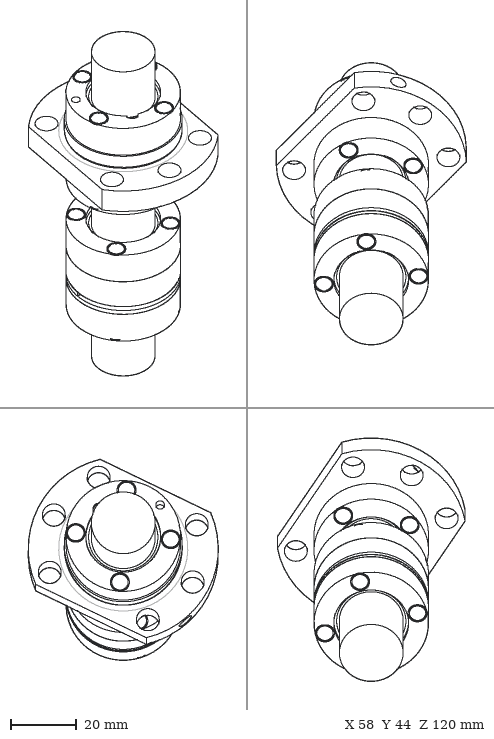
import cadquery as cq
import math

shaft_length = 120.0
shaft_radius = 9.7

nut_length = 34.0
cap_length = 10.5
cap_radius = 34.9 / 2
body_radius = 35.0 / 2
upper_nut_bottom = 70.1
lower_nut_bottom = 20.2

recess_radius = 11.4
recess_depth = 1.7
cone_radius = 10.5
cone_depth = 0.5

screw_count = 4
screw_circle_radius = 14.5
screw_hole_radius = 2.9
screw_head_radius = 2.5
screw_gap_depth = 0.4
upper_screw_angle = 22.5
lower_screw_angle = 45.0

notch_radius = 1.8
notch_center_radius = 11.3
notch_angle = -22.5
cap_hole_radius = 1.3
cap_hole_center_radius = 14.9
cap_hole_angle = -112.5
cap_hole_depth = 4.8
cap_hole_tip_depth = 0.7

flange_radius = 58.0 / 2
flange_width = 44.0
flange_thickness = 8.0
collar_radius = 18.0
collar_length = 4.7
undercut_radius = 19.7
undercut_rise = 0.4
undercut_drop = 0.2
undercut_setback = 0.2
mount_circle_radius = 23.6
mount_hole_radius = 3.5
mount_hole_angles = (0, 45, 135, 180, 225, 315)

port_angle = 157.5
port_radius = 2.4
port_depth = 7.5
port_channel_radius = 1.8

groove_center_height = 12.8
groove_radius = 0.8
groove_depth = 0.5
groove_hole_radius = 0.6
groove_hole_depth = 2.4
groove_hole_angle = -90.0


def disc(radius, bottom, height):
    """Upright cylinder on the Z axis."""
    return cq.Workplane("XY").workplane(offset=bottom).circle(radius).extrude(height)


def polar_point(radius, angle):
    """X and Y of a point at a radius and an angle from the +X direction."""
    return (radius * math.cos(math.radians(angle)), radius * math.sin(math.radians(angle)))


def radial_cylinder(radius, angle, height, inner, outer):
    """Cylinder lying along a radial line, between two distances from the Z axis."""
    lying = cq.Workplane("YZ").workplane(offset=inner).circle(radius).extrude(outer - inner)
    return lying.rotate((0, 0, 0), (0, 0, 1), angle).translate((0, 0, height))


def end_cutter(screw_angle):
    """Recess, cone and screw gaps for an upward end face at Z = 0."""
    recess = disc(recess_radius, -recess_depth, recess_depth)
    cone = (
        cq.Workplane("XY")
        .workplane(offset=-recess_depth)
        .circle(cone_radius)
        .workplane(offset=-cone_depth)
        .circle(shaft_radius)
        .loft()
    )
    gaps = (
        cq.Workplane("XY")
        .polarArray(screw_circle_radius, screw_angle, 360, screw_count)
        .circle(screw_hole_radius)
        .circle(screw_head_radius)
        .extrude(-screw_gap_depth)
    )
    return recess.union(cone).union(gaps)


def cut_ends(nut, bottom, screw_angle):
    """Bore the nut for the shaft and detail both of its end faces."""
    cutter = end_cutter(screw_angle)
    bore = disc(shaft_radius, bottom, nut_length)
    top_cutter = cutter.translate((0, 0, bottom + nut_length))
    bottom_cutter = cutter.mirror("XY").translate((0, 0, bottom))
    return nut.cut(bore).cut(top_cutter).cut(bottom_cutter)


def make_shaft():
    return disc(shaft_radius, 0, shaft_length)


def make_flange(top):
    """Round flange with two flats and a ring of mounting holes."""
    flange = disc(flange_radius, top - flange_thickness, flange_thickness)
    flats = cq.Workplane("XY").box(2 * flange_radius, flange_width, 2 * top)
    holes = (
        cq.Workplane("XY")
        .workplane(offset=top)
        .pushPoints([polar_point(mount_circle_radius, angle) for angle in mount_hole_angles])
        .circle(mount_hole_radius)
        .extrude(-flange_thickness)
    )
    return flange.intersect(flats).cut(holes)


def make_undercut(flange_top):
    """Shallow relief ring in the corner between the flange face and the collar."""
    return (
        cq.Workplane("XZ")
        .moveTo(undercut_radius, flange_top)
        .lineTo(collar_radius, flange_top + undercut_rise)
        .lineTo(collar_radius - undercut_setback, flange_top - undercut_drop)
        .close()
        .revolve(360, (0, 0, 0), (0, 1, 0))
    )


def make_cap_cutter(top):
    """Notch beside the recess and the small drilled hole, with its pointed floor, in the cap."""
    notch = (
        cq.Workplane("XY")
        .workplane(offset=top)
        .center(*polar_point(notch_center_radius, notch_angle))
        .circle(notch_radius)
        .extrude(-recess_depth)
    )
    hole = (
        cq.Workplane("XY")
        .workplane(offset=top)
        .center(*polar_point(cap_hole_center_radius, cap_hole_angle))
        .circle(cap_hole_radius)
        .extrude(-cap_hole_depth)
    )
    drill_tip = cq.Solid.makeCone(
        cap_hole_radius,
        0,
        cap_hole_tip_depth,
        cq.Vector(*polar_point(cap_hole_center_radius, cap_hole_angle), top - cap_hole_depth),
        cq.Vector(0, 0, -1),
    )
    return notch.union(hole).union(cq.Workplane(drill_tip))


def make_upper_nut():
    """Flanged nut, with the grease port leading from the rim to the bore."""
    bottom = upper_nut_bottom
    top = bottom + nut_length
    flange_top = top - cap_length - collar_length
    port_height = flange_top - flange_thickness / 2
    port_floor = flange_radius - port_depth

    nut = disc(cap_radius, bottom, nut_length)
    nut = nut.union(disc(collar_radius, flange_top, collar_length))
    nut = nut.union(make_flange(flange_top)).cut(make_undercut(flange_top))
    nut = nut.cut(radial_cylinder(port_radius, port_angle, port_height, port_floor, flange_radius))
    nut = nut.cut(radial_cylinder(port_channel_radius, port_angle, port_height, 0, port_floor))
    nut = cut_ends(nut, bottom, upper_screw_angle)
    return nut.cut(make_cap_cutter(top))


def make_lower_nut():
    """Plain round nut, with slightly slimmer end caps and a groove."""
    bottom = lower_nut_bottom
    groove_height = bottom + groove_center_height
    body_length = nut_length - 2 * cap_length
    groove_floor = body_radius - groove_depth
    groove_ring_radius = groove_floor + groove_radius

    nut = disc(cap_radius, bottom, cap_length)
    nut = nut.union(disc(body_radius, bottom + cap_length, body_length))
    nut = nut.union(disc(cap_radius, bottom + nut_length - cap_length, cap_length))
    groove = cq.Solid.makeTorus(groove_ring_radius, groove_radius, cq.Vector(0, 0, groove_height))
    nut = nut.cut(cq.Workplane(groove))
    hole_bottom = groove_floor - groove_hole_depth
    nut = nut.cut(
        radial_cylinder(groove_hole_radius, groove_hole_angle, groove_height, hole_bottom, body_radius)
    )
    return cut_ends(nut, bottom, lower_screw_angle)


shaft = make_shaft()
upper_nut = make_upper_nut()
lower_nut = make_lower_nut()

result = cq.Compound.makeCompound([shaft.val(), upper_nut.val(), lower_nut.val()])